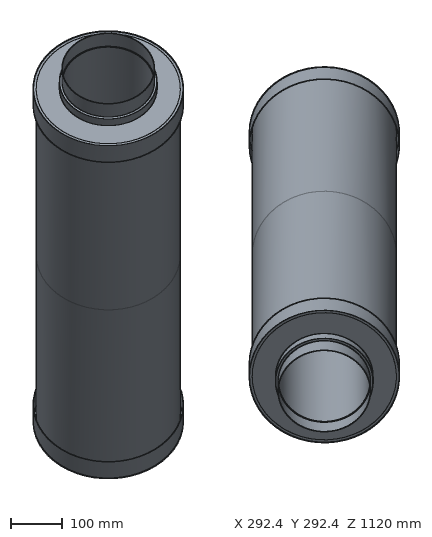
import cadquery as cq

length = 1120.0
sheet = 1.0
casing_radius = 140.0
cap_radius = 146.2
collar_radius = 95.0
spigot_radius = 90.2
casing_bore_radius = 88.0

spigot_length = 39.0
collar_length = 20.0
cap_height = 50.0

skirt_inner_radius = cap_radius - sheet
neck_radius = collar_radius - sheet
spigot_bore_radius = spigot_radius - sheet

end_z = length / 2
collar_z = end_z - spigot_length
neck_end_z = collar_z - sheet
cap_face_z = collar_z - collar_length
casing_end_z = cap_face_z - sheet
skirt_z = cap_face_z - cap_height


def centred_cylinder(radius, half_length):
    """Cylinder on the Z axis, reaching half_length above and below the middle."""
    return cq.Workplane("XY").circle(radius).extrude(half_length, both=True)


def make_casing():
    """Thick-walled casing with a neck at each end that fills the collar of the cap."""
    body = centred_cylinder(casing_radius, casing_end_z)
    necks = centred_cylinder(neck_radius, neck_end_z)
    bore = centred_cylinder(casing_bore_radius, end_z)
    return body.union(necks).cut(bore)


def make_upper_cap():
    """Sheet-metal cap: skirt, face, collar and spigot in one revolved section."""
    section = [
        (cap_radius, skirt_z),
        (cap_radius, cap_face_z),
        (collar_radius, cap_face_z),
        (collar_radius, collar_z),
        (spigot_radius, collar_z),
        (spigot_radius, end_z),
        (spigot_bore_radius, end_z),
        (spigot_bore_radius, neck_end_z),
        (neck_radius, neck_end_z),
        (neck_radius, casing_end_z),
        (skirt_inner_radius, casing_end_z),
        (skirt_inner_radius, skirt_z),
    ]
    return cq.Workplane("XZ").polyline(section).close().revolve(360, (0, 0, 0), (0, 1, 0))


casing = make_casing()
upper_cap = make_upper_cap()
caps = [upper_cap, upper_cap.mirror("XY")]

result = cq.Compound.makeCompound([casing.val(), *[cap.val() for cap in caps]])